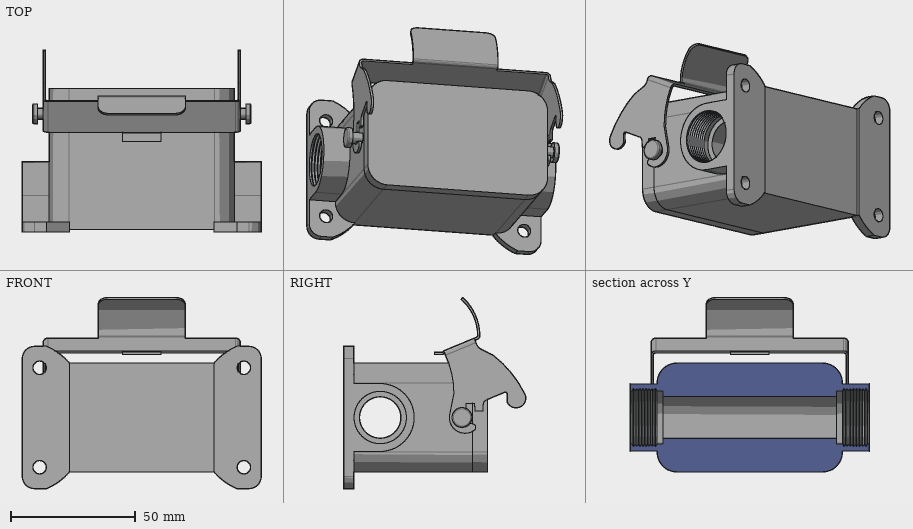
import cadquery as cq
import math


BODY_WIDTH = 74.4
BODY_HEIGHT = 43.8
BODY_CORNER_RADIUS = 8.0
BODY_BACK = 1.1
SEAL_BACK = 51.6
MOUTH = 57.8

FEET_SPAN = 96.0
FOOT_HEIGHT = 57.2
FOOT_THICKNESS = 4.1
FOOT_INNER = 29.0
FOOT_SHOULDER = 38.2
FOOT_CORNER_RADIUS = 5.0
FOOT_SHOULDER_BULGE = 0.7
SCREW_HOLE_DIAMETER = 5.3
SCREW_SPACING_X = 82.0
SCREW_SPACING_Z = 39.9

ENTRY_Y = 14.7
ENTRY_RADIUS = 13.6
BORE_DIAMETER = 16.5
THREAD_MINOR_DIAMETER = 21.0
THREADED_BORE_DEPTH = 13.2
THREAD_START = 0.8
THREAD_PITCH = 1.2
THREAD_GROOVE_DEPTH = 1.1
THREAD_TURNS = 8

PIN_Y = 47.5
PIN_DIAMETER = 4.5
PIN_HEAD_DIAMETER = 8.0
PIN_HEAD_INNER = 41.8
PIN_TIP = 43.8
PIN_HEAD_ROUND = 0.5
PIN_EMBED = 1.0

SHEET = 1.0
LATCH_WIDTH = 79.2
BEND_RADIUS = 2 * SHEET
CROSS_PLATE_LENGTH = 13.3
LATCH_TILT = math.radians(22.5)
CROSS_PLATE_TOP = (52.4, 31.9)

HOOK_CENTER = (69.2, 7.8)
HOOK_RADIUS = 3.9
FINGER_CENTER = (PIN_Y + 1.2, 0)
FINGER_RADIUS = 6.3
FINGER_TIP_RADIUS = 3.0 / 2
PIN_SEAT_RADIUS = 2.5
NOTCH_TOP = 5.7
NOTCH_INNER = 49.2
NOTCH_OUTER = 52.5
TOOTH_BOTTOM = 2.7

LEVER_WIDTH = 35.0
LEVER_OUTER_RADIUS = 20.4
LEVER_OUTER_Y = 54.7
LEVER_TOP = 48.2
LEVER_BEND_RADIUS = 0.6
LEVER_CORNER_RADIUS = 3.8
TAB_WIDTH = 15.6
TAB_END = 36.4
TAB_BEND = 39.8
TAB_BOTTOM = 25.2


def polar(center, radius, degrees):
    """Point on a circle."""
    angle = math.radians(degrees)
    return (center[0] + radius * math.cos(angle), center[1] + radius * math.sin(angle))


def along_cross_plate(distance, depth):
    """(Y, Z) point at a distance down the cross plate and a depth below its outer face."""
    down_y, down_z = -math.cos(LATCH_TILT), -math.sin(LATCH_TILT)
    return (CROSS_PLATE_TOP[0] + distance * down_y - depth * down_z,
            CROSS_PLATE_TOP[1] + distance * down_z + depth * down_y)


def rounded_block(back, front):
    """Block with the housing's rounded cross-section between two Y positions."""
    block = cq.Workplane("XY").box(BODY_WIDTH, front - back, BODY_HEIGHT)
    return block.edges("|Y").fillet(BODY_CORNER_RADIUS).translate((0, (back + front) / 2, 0))


def on_both_sides(shape):
    """Shape together with its mirror image across mid-width."""
    return shape.union(shape.mirror("YZ"))


def make_foot():
    half_height = FOOT_HEIGHT / 2
    shoulder = (FOOT_SHOULDER, half_height)
    inner = (FOOT_INNER, BODY_HEIGHT / 2)
    drop = math.dist(shoulder, inner)
    middle = ((shoulder[0] + inner[0]) / 2 - FOOT_SHOULDER_BULGE * (shoulder[1] - inner[1]) / drop,
              (shoulder[1] + inner[1]) / 2 + FOOT_SHOULDER_BULGE * (shoulder[0] - inner[0]) / drop)
    foot = (
        cq.Workplane("XZ")
        .moveTo(inner[0], -inner[1])
        .lineTo(*inner)
        .threePointArc(middle, shoulder)
        .lineTo(FEET_SPAN / 2, half_height)
        .lineTo(FEET_SPAN / 2, -half_height)
        .lineTo(shoulder[0], -shoulder[1])
        .threePointArc((middle[0], -middle[1]), (inner[0], -inner[1]))
        .close()
        .extrude(-FOOT_THICKNESS)
    )
    return foot.edges("|Y and >X").fillet(FOOT_CORNER_RADIUS)


def make_screw_holes():
    return (
        cq.Workplane("XZ")
        .rarray(SCREW_SPACING_X, SCREW_SPACING_Z, 2, 2)
        .circle(SCREW_HOLE_DIAMETER / 2)
        .extrude(-FOOT_THICKNESS)
    )


def make_cable_entry():
    """Round boss that runs straight down into the foot."""
    length = FEET_SPAN / 2 - FOOT_INNER
    boss = cq.Workplane("YZ").center(ENTRY_Y, 0).circle(ENTRY_RADIUS).extrude(length)
    root_depth = ENTRY_Y - FOOT_THICKNESS
    root = cq.Workplane("XY").box(length, root_depth, 2 * ENTRY_RADIUS, centered=(False, False, True))
    entry = boss.union(root.translate((0, FOOT_THICKNESS, 0)))
    return entry.translate((FOOT_INNER, 0, 0))


def make_thread_cutter():
    """Bore of one cable entry with ring-shaped thread grooves."""
    minor = THREAD_MINOR_DIAMETER / 2
    mouth = FEET_SPAN / 2
    profile = cq.Workplane("XY").moveTo(mouth, 0).lineTo(mouth, minor)
    for turn in range(THREAD_TURNS):
        start = mouth - THREAD_START - turn * THREAD_PITCH
        profile = profile.lineTo(start, minor)
        profile = profile.lineTo(start - THREAD_PITCH / 2, minor + THREAD_GROOVE_DEPTH)
    thread_end = mouth - THREAD_START - THREAD_TURNS * THREAD_PITCH
    bottom = mouth - THREADED_BORE_DEPTH
    profile = profile.lineTo(thread_end, minor).lineTo(bottom, minor).lineTo(bottom, 0).close()
    return profile.revolve(360, (0, 0, 0), (1, 0, 0)).translate((0, ENTRY_Y, 0))


def make_hinge_pin():
    root = BODY_WIDTH / 2 - PIN_EMBED
    shaft = cq.Workplane("YZ").workplane(offset=root).circle(PIN_DIAMETER / 2).extrude(PIN_TIP - root)
    head = cq.Workplane("YZ").workplane(offset=PIN_HEAD_INNER).circle(PIN_HEAD_DIAMETER / 2)
    head = head.extrude(PIN_TIP - PIN_HEAD_INNER).faces(">X").edges().fillet(PIN_HEAD_ROUND)
    return shaft.union(head).translate((0, PIN_Y, 0))


def make_housing():
    housing = rounded_block(BODY_BACK, SEAL_BACK)
    for feature in (make_foot(), make_cable_entry(), make_hinge_pin()):
        housing = housing.union(on_both_sides(feature))
    bore = cq.Workplane("YZ").center(ENTRY_Y, 0).circle(BORE_DIAMETER / 2).extrude(FEET_SPAN / 2, both=True)
    housing = housing.cut(bore).cut(on_both_sides(make_thread_cutter()))
    return housing.cut(make_screw_holes())


def make_seal():
    return rounded_block(SEAL_BACK, MOUTH)


def make_cross_plate():
    """Channel-shaped strip: the cross plate and the bends at its two ends."""
    outer = cq.Workplane("XY").box(LATCH_WIDTH, CROSS_PLATE_LENGTH, 2 * BEND_RADIUS)
    outer = outer.edges("|Y").edges(">Z").fillet(BEND_RADIUS)
    inner = cq.Workplane("XY").box(LATCH_WIDTH - 2 * SHEET, CROSS_PLATE_LENGTH, 2 * (BEND_RADIUS - SHEET))
    inner = inner.edges("|Y").edges(">Z").fillet(BEND_RADIUS - SHEET)
    lower_half = cq.Workplane("XY").box(
        LATCH_WIDTH, CROSS_PLATE_LENGTH, BEND_RADIUS, centered=(True, True, False)
    ).translate((0, 0, -BEND_RADIUS))
    channel = outer.cut(inner).cut(lower_half)
    middle_y, middle_z = along_cross_plate(CROSS_PLATE_LENGTH / 2, BEND_RADIUS)
    channel = channel.rotate((0, 0, 0), (1, 0, 0), math.degrees(LATCH_TILT))
    return channel.translate((0, middle_y, middle_z))


def make_side_arm():
    """Flat arm with a hook at its free end and an open seat around the hinge pin."""
    tip_reach = FINGER_RADIUS - FINGER_TIP_RADIUS
    tip_z = -PIN_SEAT_RADIUS - FINGER_TIP_RADIUS
    tip_center = (FINGER_CENTER[0] + math.sqrt(tip_reach**2 - tip_z**2), tip_z)
    tip_angle = math.degrees(math.atan2(tip_z, tip_center[0] - FINGER_CENTER[0]))
    arm = (
        cq.Workplane("YZ")
        .workplane(offset=LATCH_WIDTH / 2 - SHEET)
        .moveTo(*along_cross_plate(0, BEND_RADIUS))
        .threePointArc((53.9, 28.6), (55.6, 27.3))
        .lineTo(60.0, 25.1)
        .threePointArc((66.7, 18.6), polar(HOOK_CENTER, HOOK_RADIUS, 30))
        .threePointArc(polar(HOOK_CENTER, HOOK_RADIUS, -90), polar(HOOK_CENTER, HOOK_RADIUS, -155))
        .lineTo(65.7, 9.3)
        .threePointArc((65.4, 10.0), (64.6, 10.1))
        .lineTo(57.5, 7.1)
        .threePointArc((56.5, 6.5), (56.1, 5.5))
        .lineTo(55.9, TOOTH_BOTTOM)
        .lineTo(52.8, TOOTH_BOTTOM)
        .lineTo(NOTCH_OUTER, NOTCH_TOP)
        .lineTo(NOTCH_INNER, NOTCH_TOP)
        .lineTo(NOTCH_INNER, -PIN_SEAT_RADIUS)
        .lineTo(tip_center[0], -PIN_SEAT_RADIUS)
        .threePointArc(polar(tip_center, FINGER_TIP_RADIUS, 0),
                       polar(tip_center, FINGER_TIP_RADIUS, tip_angle))
        .threePointArc(polar(FINGER_CENTER, FINGER_RADIUS, -110), polar(FINGER_CENTER, FINGER_RADIUS, 175))
        .lineTo(44.3, 9.6)
        .threePointArc((43.7, 16.2), along_cross_plate(CROSS_PLATE_LENGTH, BEND_RADIUS))
        .close()
        .extrude(SHEET)
    )
    pin_seat = (
        cq.Workplane("YZ")
        .workplane(offset=LATCH_WIDTH / 2 - SHEET)
        .center(PIN_Y, 0)
        .circle(PIN_SEAT_RADIUS)
        .extrude(SHEET)
    )
    return arm.cut(pin_seat)


def make_lever():
    """Curved finger grip, bent up from the upper edge of the cross plate."""
    inner_radius = LEVER_OUTER_RADIUS - SHEET
    outer_bend = LEVER_BEND_RADIUS + SHEET
    bend_y = LEVER_OUTER_Y - outer_bend
    bend_z = (CROSS_PLATE_TOP[1] + (bend_y - CROSS_PLATE_TOP[0]) * math.tan(LATCH_TILT)
              + LEVER_BEND_RADIUS / math.cos(LATCH_TILT))
    bend_center = (bend_y, bend_z)
    center = (LEVER_OUTER_Y - LEVER_OUTER_RADIUS, bend_z)
    tip_angle = math.degrees(math.asin((LEVER_TOP - bend_z) / LEVER_OUTER_RADIUS))
    bend_start = math.degrees(LATCH_TILT) - 90
    outer_tip = polar(center, LEVER_OUTER_RADIUS, tip_angle)
    inner_tip = polar(center, inner_radius, tip_angle)
    lever = (
        cq.Workplane("YZ")
        .moveTo(*along_cross_plate(0, 0))
        .lineTo(*polar(bend_center, LEVER_BEND_RADIUS, bend_start))
        .threePointArc(polar(bend_center, LEVER_BEND_RADIUS, bend_start / 2),
                       polar(bend_center, LEVER_BEND_RADIUS, 0))
        .threePointArc(polar(center, inner_radius, tip_angle / 2), inner_tip)
        .lineTo(*outer_tip)
        .threePointArc(polar(center, LEVER_OUTER_RADIUS, tip_angle / 2),
                       polar(center, LEVER_OUTER_RADIUS, 0))
        .threePointArc(polar(bend_center, outer_bend, bend_start / 2),
                       polar(bend_center, outer_bend, bend_start))
        .lineTo(*along_cross_plate(0, SHEET))
        .close()
        .extrude(LEVER_WIDTH / 2, both=True)
    )
    tip_y = (outer_tip[0] + inner_tip[0]) / 2
    tip_z = (outer_tip[1] + inner_tip[1]) / 2
    for side in (-1, 1):
        corner = cq.selectors.NearestToPointSelector((side * LEVER_WIDTH / 2, tip_y, tip_z))
        lever = lever.edges(corner).fillet(LEVER_CORNER_RADIUS)
    return lever


def make_tab():
    """Short level tab on the lower edge of the cross plate."""
    tab_top = TAB_BOTTOM + SHEET
    return (
        cq.Workplane("YZ")
        .moveTo(*along_cross_plate(CROSS_PLATE_LENGTH, 0))
        .lineTo(TAB_BEND, tab_top)
        .lineTo(TAB_END, tab_top)
        .lineTo(TAB_END, TAB_BOTTOM)
        .lineTo(TAB_BEND, TAB_BOTTOM)
        .lineTo(*along_cross_plate(CROSS_PLATE_LENGTH, SHEET))
        .close()
        .extrude(TAB_WIDTH / 2, both=True)
    )


def make_latch():
    latch = make_cross_plate().union(on_both_sides(make_side_arm()))
    return latch.union(make_lever()).union(make_tab())


housing = make_housing().solids()
seal = make_seal().solids()
latch = make_latch().solids()

result = cq.Compound.makeCompound([housing.val(), seal.val(), latch.val()])